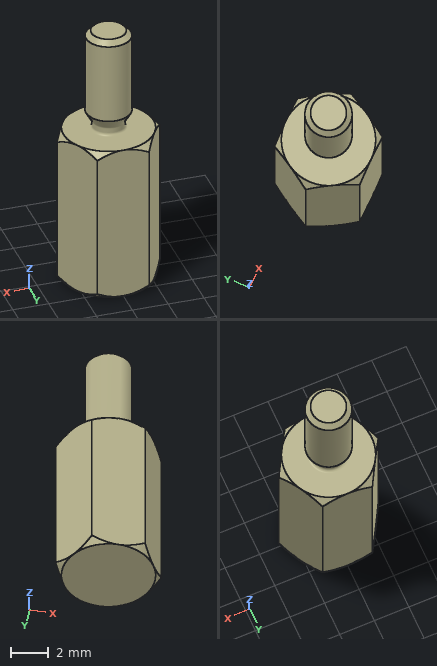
import cadquery as cq
import math

total_height = 15.0
across_flats = 5.0
hex_height = 9.0
stud_diameter = 2.5
stud_tip_chamfer = 0.3
neck_diameter = 1.8
neck_fillet = 0.2
relief_height = 1.11
relief_angle = 30.0
hex_chamfer_angle = 45.0

flat_radius = across_flats / 2
corner_radius = flat_radius / math.cos(math.radians(30))
corner_drop = (corner_radius - flat_radius) * math.tan(math.radians(hex_chamfer_angle))
stud_radius = stud_diameter / 2
neck_radius = neck_diameter / 2
relief_start = hex_height + relief_height
cone_height = (stud_radius - neck_radius) / math.tan(math.radians(relief_angle))
neck_top = relief_start - cone_height

angle = math.radians(relief_angle)
tangent_length = neck_fillet * math.tan(angle / 2)
blend_start = neck_top - tangent_length
blend_center_radius = neck_radius + neck_fillet


def blend_point(turn):
    """Point on the upper neck blend, turned from its lower end."""
    return (
        blend_center_radius - neck_fillet * math.cos(turn),
        blend_start + neck_fillet * math.sin(turn),
    )


def fillet_point(turn):
    """Point on the lower neck fillet, turned down from its upper end."""
    return (
        blend_center_radius - neck_fillet * math.cos(turn),
        hex_height + neck_fillet - neck_fillet * math.sin(turn),
    )


def make_hex_body():
    """Hexagon with corners on X, both ends turned to a cone."""
    prism = cq.Workplane("XY").polygon(6, 2 * corner_radius).extrude(hex_height)
    turned_envelope = (
        cq.Workplane("XZ")
        .moveTo(0, 0)
        .lineTo(flat_radius, 0)
        .lineTo(corner_radius, corner_drop)
        .lineTo(corner_radius, hex_height - corner_drop)
        .lineTo(flat_radius, hex_height)
        .lineTo(0, hex_height)
        .close()
        .revolve(360, (0, 0, 0), (0, 1, 0))
    )
    return prism.intersect(turned_envelope)


def make_stud():
    """Chamfered stud with a filleted undercut neck above the hexagon."""
    seat = hex_height / 2
    return (
        cq.Workplane("XZ")
        .moveTo(0, seat)
        .lineTo(blend_center_radius, seat)
        .lineTo(*fillet_point(math.pi / 2))
        .threePointArc(fillet_point(math.pi / 4), fillet_point(0))
        .lineTo(*blend_point(0))
        .threePointArc(blend_point(angle / 2), blend_point(angle))
        .lineTo(stud_radius, relief_start)
        .lineTo(stud_radius, total_height - stud_tip_chamfer)
        .lineTo(stud_radius - stud_tip_chamfer, total_height)
        .lineTo(0, total_height)
        .close()
        .revolve(360, (0, 0, 0), (0, 1, 0))
    )


result = make_hex_body().union(make_stud())